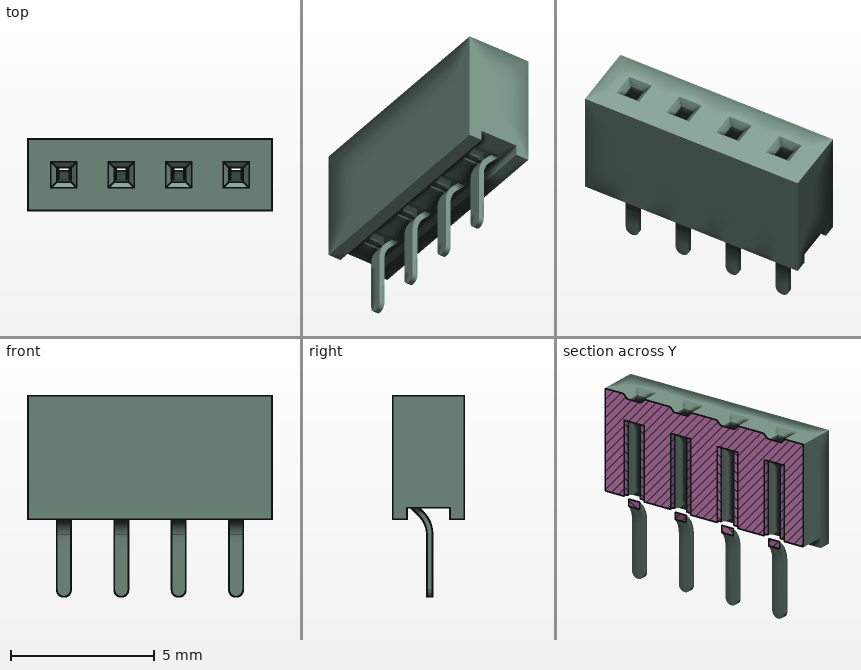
import cadquery as cq
import math


housing_length = 8.5
housing_depth = 2.5
housing_height = 4.3
foot_width = 0.5
recess_height = 0.4

contact_count = 4
pitch = 2.0
entry_width = 0.5
entry_chamfer = 0.2
entry_depth = 1.02

sheet_thickness = 0.2
tail_width = 0.5
tail_reach = 2.7
tail_back_y = 0.145
bend_start_depth = 0.53
bend_radius = 0.89
bend_angle = math.radians(45)
base_front_y = -0.4
wall_thickness = 0.17
pad_gap = 0.36
pad_mouth = 0.44
pad_lead_height = 0.315
pad_front_y = -0.18
channel_end_y = 0.34

cavity_top = housing_height - entry_depth
channel_width = entry_width + 2 * wall_thickness
base_back_y = base_front_y - sheet_thickness
contact_xs = [(i - (contact_count - 1) / 2) * pitch for i in range(contact_count)]


def block(x_range, y_range, z_range):
    """Box between the given limits."""
    size = [high - low for low, high in (x_range, y_range, z_range)]
    corner = (x_range[0], y_range[0], z_range[0])
    return cq.Workplane("XY").box(*size, centered=False).translate(corner)


def centred_range(width):
    """Limits of a width centred on zero."""
    return (-width / 2, width / 2)


def make_entry():
    """Chamfered square opening and the contact cavity below it, at X = 0."""
    lead_in = (
        cq.Workplane("XY", origin=(0, 0, housing_height))
        .rect(entry_width + 2 * entry_chamfer, entry_width + 2 * entry_chamfer)
        .workplane(offset=-entry_chamfer)
        .rect(entry_width, entry_width)
        .loft(ruled=True)
    )
    square = centred_range(entry_width)
    shaft = block(square, square, (cavity_top, housing_height))
    cavity = block(
        centred_range(channel_width), (base_back_y, channel_end_y), (recess_height, cavity_top)
    )
    return lead_in.union(shaft).union(cavity)


def make_housing():
    """Block with a lengthwise bottom recess and one entry per contact."""
    body = block(
        centred_range(housing_length), centred_range(housing_depth), (0, housing_height)
    )
    recess = block(
        centred_range(housing_length),
        centred_range(housing_depth - 2 * foot_width),
        (0, recess_height),
    )
    body = body.cut(recess)
    entry = make_entry()
    for x in contact_xs:
        body = body.cut(entry.translate((x, 0, 0)))
    return body


def bend_point(radius, angle):
    """Point (y, z) on the tail bend, turned by angle from the straight tail."""
    centre_y = tail_back_y - sheet_thickness - bend_radius
    return (centre_y + radius * math.cos(angle), -bend_start_depth + radius * math.sin(angle))


def slope_height(bend_end, y):
    """Height at which the straight slope leaving the bend reaches y."""
    return bend_end[1] + (bend_end[0] - y) / math.tan(bend_angle)


def make_strip():
    """Round-ended tail, bend, slope and upright base plate, as one bent strip."""
    outer_radius = bend_radius + sheet_thickness
    outer_end = bend_point(outer_radius, bend_angle)
    inner_end = bend_point(bend_radius, bend_angle)
    strip = (
        cq.Workplane("YZ")
        .moveTo(tail_back_y, -tail_reach)
        .lineTo(tail_back_y, -bend_start_depth)
        .threePointArc(bend_point(outer_radius, bend_angle / 2), outer_end)
        .lineTo(base_front_y, slope_height(outer_end, base_front_y))
        .lineTo(base_front_y, cavity_top)
        .lineTo(base_back_y, cavity_top)
        .lineTo(base_back_y, slope_height(inner_end, base_back_y))
        .lineTo(*inner_end)
        .threePointArc(
            bend_point(bend_radius, bend_angle / 2),
            (tail_back_y - sheet_thickness, -bend_start_depth),
        )
        .lineTo(tail_back_y - sheet_thickness, -tail_reach)
        .close()
        .extrude(tail_width / 2, both=True)
    )
    tip_radius = tail_width / 2
    tip_shoulder = tip_radius - tail_reach
    rounded_outline = (
        cq.Workplane("XZ")
        .moveTo(-tip_radius, cavity_top)
        .lineTo(-tip_radius, tip_shoulder)
        .threePointArc((0, -tail_reach), (tip_radius, tip_shoulder))
        .lineTo(tip_radius, cavity_top)
        .close()
        .extrude(housing_depth, both=True)
    )
    return strip.intersect(rounded_outline)


def make_spring_side(channel_bottom):
    """Side wall on +X with a pad whose top curves away from the gap."""
    wall = block(
        (entry_width / 2, channel_width / 2),
        (base_back_y, channel_end_y),
        (channel_bottom, cavity_top),
    )
    lead_offset = (pad_mouth - pad_gap) / 2
    lead_radius = (pad_lead_height**2 + lead_offset**2) / (2 * lead_offset)
    half_angle = math.asin(pad_lead_height / lead_radius) / 2
    lead_start_z = cavity_top - pad_lead_height
    lead_middle = (
        pad_gap / 2 + lead_radius * (1 - math.cos(half_angle)),
        lead_start_z + lead_radius * math.sin(half_angle),
    )
    pad = (
        cq.Workplane("XZ", origin=(0, pad_front_y, 0))
        .moveTo(pad_gap / 2, channel_bottom)
        .lineTo(pad_gap / 2, lead_start_z)
        .threePointArc(lead_middle, (pad_mouth / 2, cavity_top))
        .lineTo(channel_width / 2, cavity_top)
        .lineTo(channel_width / 2, channel_bottom)
        .close()
        .extrude(pad_front_y - channel_end_y)
    )
    return wall.union(pad)


def make_contact():
    """Bent strip with a spring side on each edge of its base plate, at X = 0."""
    outer_end = bend_point(bend_radius + sheet_thickness, bend_angle)
    channel_bottom = slope_height(outer_end, base_front_y)
    side = make_spring_side(channel_bottom)
    return make_strip().union(side).union(side.mirror("YZ"))


housing = make_housing().solids()
contact = make_contact().solids()
contacts = [contact.translate((x, 0, 0)) for x in contact_xs]

result = cq.Compound.makeCompound([housing.val(), *[c.val() for c in contacts]])